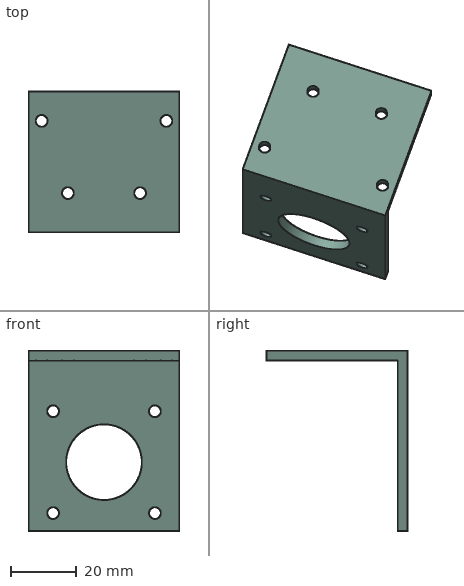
import cadquery as cq

width = 46.0
depth = 43.0
height = 55.0
thickness = 3.0

bore_diameter = 23.0
bore_height = 21.0
face_hole_spacing = 31.0
screw_diameter = 3.5

front_row_from_edge = 12.0
row_distance = 22.0
front_row_spacing = 22.0
rear_row_spacing = 38.0


def pair(spacing, other):
    """Two points placed symmetrically about the middle of the width."""
    return [(-spacing / 2, other), (spacing / 2, other)]


def angle_bracket():
    """Top plate with an upright plate along its rear edge; front edge at y = 0, base at z = 0."""
    top = cq.Workplane("XY").box(width, depth, thickness, centered=(True, False, False))
    upright = cq.Workplane("XY").box(width, thickness, height, centered=(True, False, False))
    return top.translate((0, 0, height - thickness)).union(upright.translate((0, depth - thickness, 0)))


def upright_cutters():
    """Bore and screw holes through the upright plate."""
    front_face = cq.Workplane("XZ", origin=(0, depth - thickness, bore_height))
    bore = front_face.circle(bore_diameter / 2).extrude(-thickness)
    corners = pair(face_hole_spacing, -face_hole_spacing / 2) + pair(face_hole_spacing, face_hole_spacing / 2)
    screws = front_face.pushPoints(corners).circle(screw_diameter / 2).extrude(-thickness)
    return bore.union(screws)


def top_cutters():
    """Screw holes through the top plate."""
    front_row = pair(front_row_spacing, front_row_from_edge)
    rear_row = pair(rear_row_spacing, front_row_from_edge + row_distance)
    top_face = cq.Workplane("XY", origin=(0, 0, height))
    return top_face.pushPoints(front_row + rear_row).circle(screw_diameter / 2).extrude(-thickness)


result = angle_bracket().cut(upright_cutters()).cut(top_cutters())